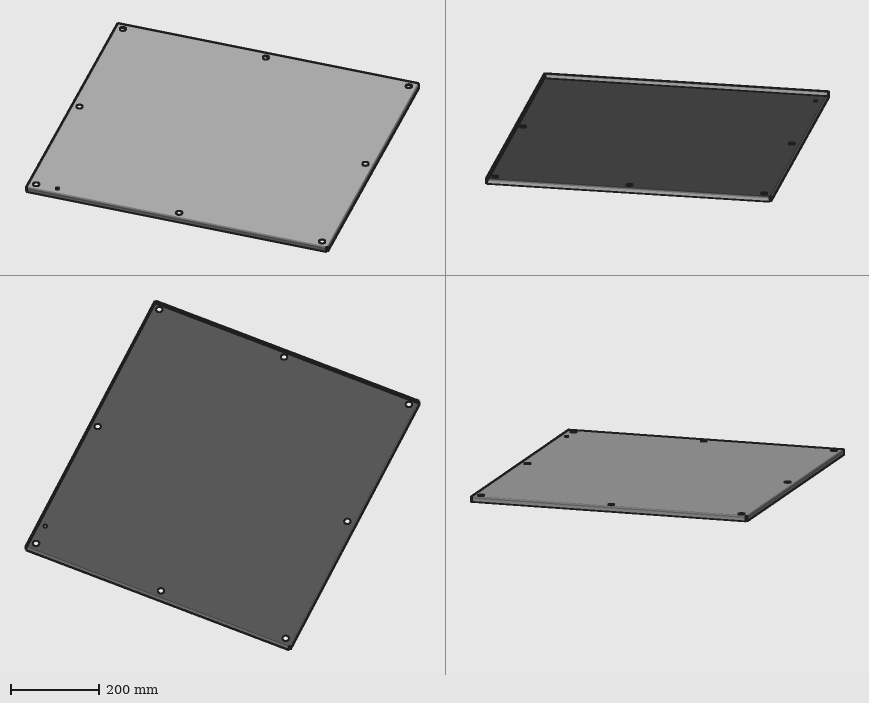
import cadquery as cq

length = 724.0
width = 660.0
height = 13.0

thickness = 1.5
bend_radius = 3.0
flange_setback = 4.0

edge_offset = 19.5
mounting_diameter = 14.5
small_diameter = 8.0
small_hole_spacing = 51.0

half_length = length / 2
half_width = width / 2


def bent_channel(across, along):
    """Sheet spanning X with a flange folded down at each end, extruded along Y."""
    outer = cq.Workplane("XY").box(across, along, height, centered=(True, True, False))
    outer = outer.edges("|Y and >Z").fillet(bend_radius)
    inner = cq.Workplane("XY").box(
        across - 2 * thickness, along, height - thickness, centered=(True, True, False)
    )
    inner = inner.edges("|Y and >Z").fillet(bend_radius - thickness)
    return outer.cut(inner)


def drill(panel, centres, diameter):
    """Cut round holes through the top sheet."""
    cutters = cq.Workplane("XY").pushPoints(centres).circle(diameter / 2).extrude(height)
    return panel.cut(cutters)


side_flanges = bent_channel(length, width - 2 * flange_setback)
end_flanges = bent_channel(width, length - 2 * flange_setback)
end_flanges = end_flanges.rotate((0, 0, 0), (0, 0, 1), 90)

flat_length = length - 2 * bend_radius
flat_width = width - 2 * bend_radius
interior = cq.Workplane("XY").box(flat_length, flat_width, height, centered=(True, True, False))
sheet = (
    cq.Workplane("XY")
    .workplane(offset=height - thickness)
    .rect(flat_length, flat_width)
    .extrude(thickness)
)
panel = sheet.union(side_flanges.cut(interior)).union(end_flanges.cut(interior))

hole_x = half_length - edge_offset
hole_y = half_width - edge_offset
mounting_centres = [
    (x, y)
    for x in (-hole_x, 0, hole_x)
    for y in (-hole_y, 0, hole_y)
    if (x, y) != (0, 0)
]
panel = drill(panel, mounting_centres, mounting_diameter)

result = drill(panel, [(small_hole_spacing - hole_x, -hole_y)], small_diameter)